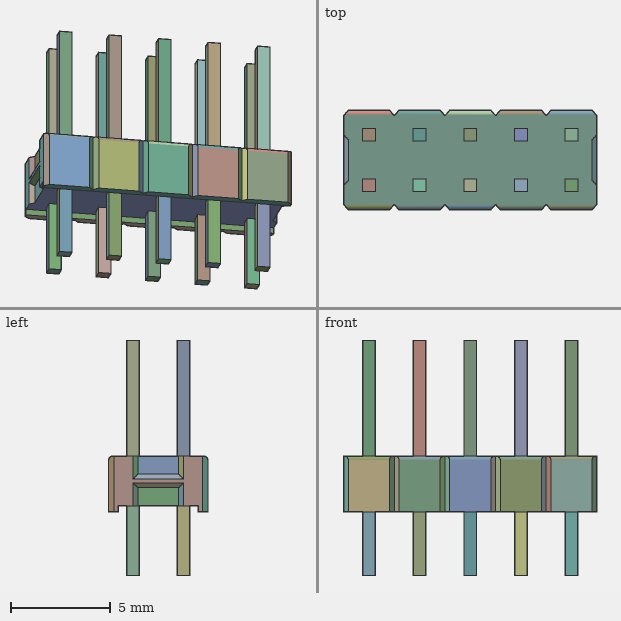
import cadquery as cq


columns = 5
rows = 2
pitch = 2.54

pin_width = 0.64
pin_above_body = 5.8
pin_below_body = 3.2

body_length = columns * pitch
body_width = 5.0
body_height = 2.8
top_edge_radius = 0.22

channel_depth = 0.3
foot_width = 0.5

notch_half_width = 0.24
notch_depth = 0.27

recess_width = 2.52
recess_depth = 0.24
recess_wall_angle = 45.0
rib_height = 0.2
rib_center_z = (channel_depth + body_height) / 2


def make_body():
    """Block with rounded upper long edges and a channel underneath."""
    body = (
        cq.Workplane("XY")
        .box(body_length, body_width, body_height, centered=(True, True, False))
        .edges("|X and >Z")
        .fillet(top_edge_radius)
    )
    channel_width = body_width - 2 * foot_width
    channel = cq.Workplane("XY").box(
        body_length, channel_width, channel_depth, centered=(True, True, False)
    )
    return body.cut(channel)


def cut_notches(body):
    """Cut a V groove at every column boundary on both long sides."""
    for boundary in range(columns + 1):
        x = boundary * pitch - body_length / 2
        for side in (-1, 1):
            face_y = side * body_width / 2
            notch = (
                cq.Workplane("XY")
                .moveTo(x - notch_half_width, face_y)
                .lineTo(x + notch_half_width, face_y)
                .lineTo(x, face_y - side * notch_depth)
                .close()
                .extrude(body_height)
            )
            body = body.cut(notch)
    return body


def cut_end_recesses(body):
    """Cut sloped-wall recesses into both ends; each opens away from the rib."""
    recess_length = body_height - channel_depth
    center_offset = (rib_height + recess_length) / 2
    for direction in (-1, 1):
        recess = (
            cq.Workplane("YZ", origin=(-body_length / 2, 0, 0))
            .center(0, rib_center_z + direction * center_offset)
            .rect(recess_width, recess_length)
            .extrude(recess_depth, taper=recess_wall_angle)
        )
        body = body.cut(recess).cut(recess.mirror("YZ"))
    return body


def make_pins():
    """Straight square pins passing through the housing."""
    pin_length = pin_below_body + body_height + pin_above_body
    return (
        cq.Workplane("XY", origin=(0, 0, -pin_below_body))
        .rarray(pitch, pitch, columns, rows)
        .rect(pin_width, pin_width)
        .extrude(pin_length)
    )


housing = cut_end_recesses(cut_notches(make_body()))
result = housing.union(make_pins())